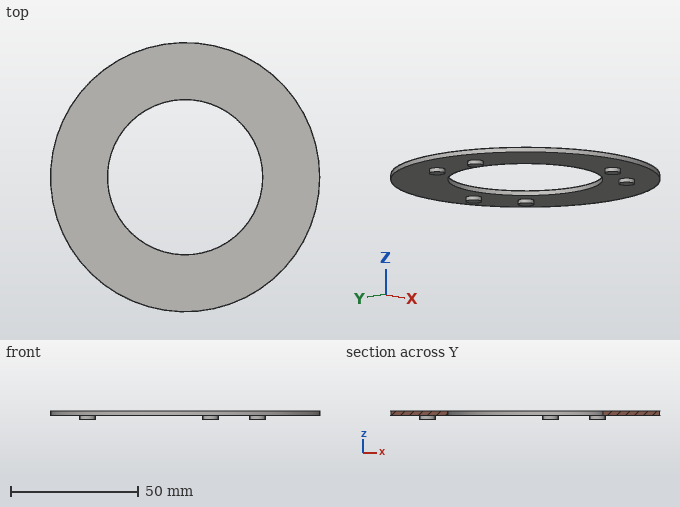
import cadquery as cq

ring_diameter = 106.0
bore_diameter = 61.0
ring_thickness = 1.9

pin_diameter = 6.2
pin_height = 1.6
pin_circle_radius = 39.9
pair_count = 3
pins_per_pair = 2
first_pair_angle = 60.0
pair_half_angle = 15.48


def make_ring():
    """Flat ring with its underside on Z = 0."""
    return (
        cq.Workplane("XY")
        .circle(ring_diameter / 2)
        .circle(bore_diameter / 2)
        .extrude(ring_thickness)
    )


def make_pin_pair(pair_angle):
    """Two pins hanging below Z = 0, on either side of pair_angle."""
    return (
        cq.Workplane("XY")
        .polarArray(
            pin_circle_radius,
            pair_angle - pair_half_angle,
            2 * pair_half_angle,
            pins_per_pair,
        )
        .circle(pin_diameter / 2)
        .extrude(-pin_height)
    )


result = make_ring()
for pair_index in range(pair_count):
    pair_angle = first_pair_angle + pair_index * 360.0 / pair_count
    result = result.union(make_pin_pair(pair_angle))